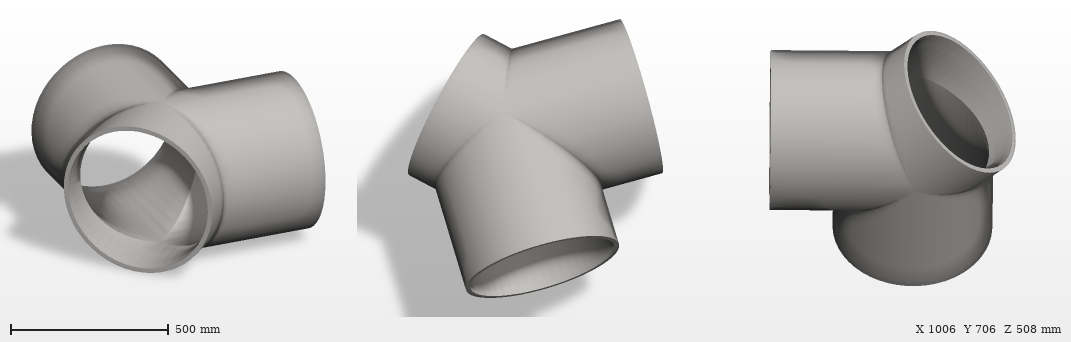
import cadquery as cq
import math

outer_diameter = 508.0
bore_diameter = 478.0
span = 1006.0
inlet_length = 203.0

inlet_angle = -90
right_arm_angle = 45
left_arm_angle = 180 - right_arm_angle

arm_length = (span / 2) / math.cos(math.radians(right_arm_angle)) - outer_diameter / 2

right_mitre = (inlet_angle + right_arm_angle) / 2
left_mitre = 180 - right_mitre
centre_mitre = (right_arm_angle + left_arm_angle) / 2

branches = [
    (inlet_angle, inlet_length, left_mitre - 360, right_mitre),
    (right_arm_angle, arm_length, right_mitre, centre_mitre),
    (left_arm_angle, arm_length, centre_mitre, left_mitre),
]

wedge_reach = 2 * span


def along(angle, distance):
    """Point at a distance from the origin in the XY plane."""
    radians = math.radians(angle)
    return (distance * math.cos(radians), distance * math.sin(radians))


def mitre_wedge(first_mitre, second_mitre):
    """Triangular prism lying between two mitre planes."""
    corners = [(0, 0), along(first_mitre, wedge_reach), along(second_mitre, wedge_reach)]
    return cq.Workplane("XY").polyline(corners).close().extrude(outer_diameter, both=True)


def mitred_pipe(angle, length, first_mitre, second_mitre):
    """Straight pipe from the origin, trimmed by its two mitre planes."""
    axis = cq.Plane(origin=(0, 0, 0), xDir=(0, 0, 1), normal=(*along(angle, 1), 0))
    pipe = (
        cq.Workplane(axis)
        .circle(outer_diameter / 2)
        .circle(bore_diameter / 2)
        .extrude(length)
    )
    return pipe.intersect(mitre_wedge(first_mitre, second_mitre))


result = mitred_pipe(*branches[0])
for branch in branches[1:]:
    result = result.union(mitred_pipe(*branch))